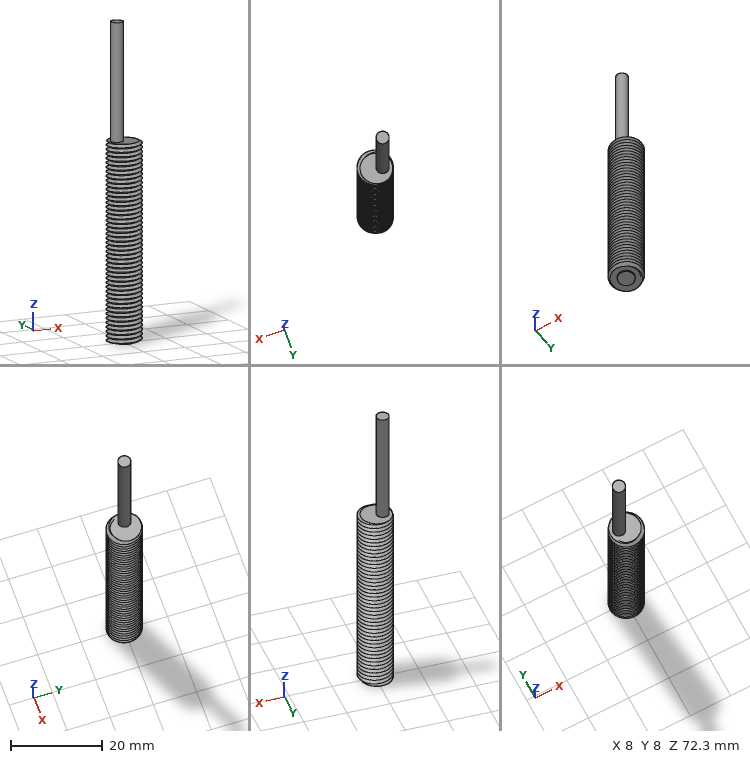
import cadquery as cq
import math

total_height = 72.3
thread_diameter = 8.0
root_diameter = 6.2
barrel_length = 45.0
thread_turns = 45
crest_angle = 120.0

face_diameter = 4.0
face_height = 0.4

cable_diameter = 2.9
cable_x = -1.5
cable_y = 0.54

pitch = barrel_length / thread_turns
thread_radius = thread_diameter / 2
root_radius = root_diameter / 2
barrel_top = face_height + barrel_length


def helix_edge(radius, height, half_turn):
    """Right-handed half-turn of helix, on the given half-turn count from the crest start."""
    helix = cq.Wire.makeHelix(pitch, pitch / 2, radius).Edges()[0]
    angle = crest_angle + 180 * half_turn
    return helix.rotate(cq.Vector(0, 0, 0), cq.Vector(0, 0, 1), angle).translate(cq.Vector(0, 0, height))


def spiral_edge(start_radius, end_radius, height, half_turn):
    """Flat half-turn spiral where a thread flank meets an end plane of the barrel."""
    steps = 12
    points = []
    for step in range(steps + 1):
        share = step / steps
        radius = start_radius + (end_radius - start_radius) * share
        angle = math.radians(crest_angle) + math.pi * (half_turn + share)
        points.append(cq.Vector(radius * math.cos(angle), radius * math.sin(angle), height))
    return cq.Edge.makeSpline(points)


def make_barrel():
    """Sharp V thread built from half-turn flank strips, cut off flat at both ends."""
    half_turns = 2 * thread_turns
    bottom_spirals = [
        spiral_edge(thread_radius, root_radius, face_height, 0),
        spiral_edge(root_radius, thread_radius, face_height, 1),
    ]
    top_spirals = [
        spiral_edge(thread_radius, root_radius, barrel_top, half_turns),
        spiral_edge(root_radius, thread_radius, barrel_top, half_turns + 1),
    ]
    crests = []
    roots = []
    for index in range(half_turns):
        height = face_height + index * pitch / 2
        crests.append(helix_edge(thread_radius, height, index))
        roots.append(helix_edge(root_radius, height, index + 1))

    under_crest = zip(crests + top_spirals[:1], bottom_spirals[:1] + roots)
    over_crest = zip(bottom_spirals[1:] + crests, roots + top_spirals[1:])
    faces = [cq.Face.makeRuledSurface(*edges) for edges in [*under_crest, *over_crest]]
    for spirals in (bottom_spirals, top_spirals):
        faces.append(cq.Face.makeFromWires(cq.Wire.assembleEdges(spirals)))
    return cq.Workplane(cq.Solid.makeSolid(cq.Shell.makeShell(faces)))


def make_sensor():
    """Threaded barrel with its round sensing face."""
    sensing_face = cq.Workplane("XY").circle(face_diameter / 2).extrude(face_height)
    return make_barrel().union(sensing_face)


def make_cable():
    """Plain round cable standing on the barrel's top face."""
    return (
        cq.Workplane("XY").workplane(offset=barrel_top)
        .center(cable_x, cable_y)
        .circle(cable_diameter / 2).extrude(total_height - barrel_top)
    )


sensor = make_sensor()
cable = make_cable()

result = cq.Compound.makeCompound([sensor.val(), cable.val()])